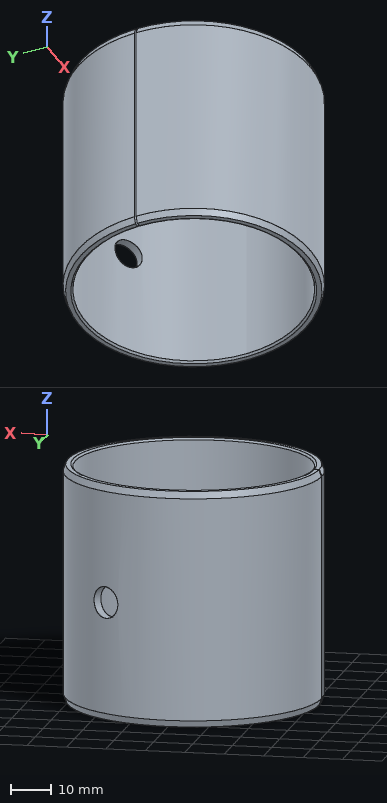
import cadquery as cq

outer_diameter = 65.0
wall = 2.5
length = 60.0
outer_chamfer_height = 1.75
outer_chamfer_depth = 0.65
inner_chamfer_height = 0.5
inner_chamfer_depth = 0.5
slit_width = 0.5
hole_diameter = 8.0
hole_angle = 59.0

outer_radius = outer_diameter / 2
inner_radius = outer_radius - wall
half_length = length / 2


def make_sleeve():
    """Revolve the wall section, with both ends chamfered inside and outside."""
    outer_end_radius = outer_radius - outer_chamfer_depth
    inner_end_radius = inner_radius + inner_chamfer_depth
    outer_chamfer_z = half_length - outer_chamfer_height
    inner_chamfer_z = half_length - inner_chamfer_height
    section = [
        (inner_radius, -inner_chamfer_z),
        (inner_end_radius, -half_length),
        (outer_end_radius, -half_length),
        (outer_radius, -outer_chamfer_z),
        (outer_radius, outer_chamfer_z),
        (outer_end_radius, half_length),
        (inner_end_radius, half_length),
        (inner_radius, inner_chamfer_z),
    ]
    return cq.Workplane("XZ").polyline(section).close().revolve(360, (0, 0), (0, 1))


def make_slit():
    """Full-length cutter through the -X wall, with one face on the XZ plane."""
    return cq.Workplane("XY").box(
        outer_radius, slit_width, length, centered=(False, False, True)
    ).translate((-outer_radius, 0, 0))


def make_oil_hole():
    """Radial cutter through one wall at mid-length."""
    cutter = cq.Workplane("YZ").circle(hole_diameter / 2).extrude(outer_radius)
    return cutter.rotate((0, 0, 0), (0, 0, 1), hole_angle)


result = make_sleeve().cut(make_slit()).cut(make_oil_hole())